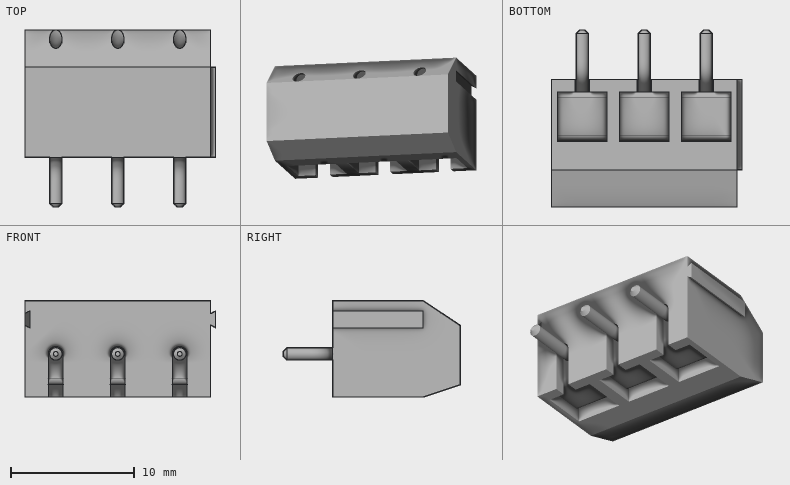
import cadquery as cq


housing_width = 15.0
housing_depth = 10.3
housing_height = 7.8
slope_run = 3.0
upper_slope_drop = 2.0
lower_slope_rise = 1.0
slope_start = housing_depth - slope_run

pole_count = 3
pole_pitch = housing_width / pole_count
pole_centers = [(i + 0.5) * pole_pitch for i in range(pole_count)]

overall_width = 15.4
dovetail_depth = overall_width - housing_width
dovetail_neck = 0.92
dovetail_flare = 0.23
dovetail_z = 6.28

pin_diameter = 1.0
pin_z = 3.5
pin_projection = 4.0
pin_tip_chamfer = 0.31

slot_width = 1.2
slot_depth = 1.0
chamber_width = 4.0
chamber_depth = 4.0
chamber_height = 6.0

clamp_bottom = 1.05
clamp_edge_radius = 0.46

test_hole_diameter = 1.0
test_hole_depth = 2.0
test_hole_z = housing_height - upper_slope_drop + test_hole_diameter / 2


def box(width, depth, height, x_center, y_front, z_bottom):
    """Box centred on x_center, reaching back from y_front and up from z_bottom."""
    return (
        cq.Workplane("XY")
        .box(width, depth, height, centered=(True, False, False))
        .translate((x_center, y_front, z_bottom))
    )


def cylinder_along_y(diameter, x, y_front, z, length):
    """Cylinder that reaches back from y_front."""
    return cq.Workplane("XZ", origin=(x, y_front, z)).circle(diameter / 2).extrude(-length)


def make_dovetail(x_neck):
    """Dovetail bar that widens towards +X, starting at its neck."""
    neck_half = dovetail_neck / 2
    wide_half = neck_half + dovetail_flare
    x_wide = x_neck + dovetail_depth
    outline = [
        (x_neck, dovetail_z - neck_half),
        (x_wide, dovetail_z - wide_half),
        (x_wide, dovetail_z + wide_half),
        (x_neck, dovetail_z + neck_half),
    ]
    return cq.Workplane("XZ").polyline(outline).close().extrude(-slope_start)


def make_slot_cutter(x):
    """Round-topped slot around the pin, open at the front and at the bottom."""
    straight = box(slot_width, slot_depth, pin_z, x, 0, 0)
    return straight.union(cylinder_along_y(slot_width, x, 0, pin_z, slot_depth))


def make_test_hole_cutter(x):
    """Blind hole parallel to Y that opens in the upper slope."""
    y_front = housing_depth - test_hole_depth
    return cylinder_along_y(test_hole_diameter, x, y_front, test_hole_z, test_hole_depth)


def make_housing():
    side_profile = [
        (0, 0),
        (slope_start, 0),
        (housing_depth, lower_slope_rise),
        (housing_depth, housing_height - upper_slope_drop),
        (slope_start, housing_height),
        (0, housing_height),
    ]
    housing = cq.Workplane("YZ").polyline(side_profile).close().extrude(housing_width)
    housing = housing.cut(make_dovetail(0)).union(make_dovetail(housing_width))
    for x in pole_centers:
        housing = housing.cut(make_slot_cutter(x))
        housing = housing.cut(box(chamber_width, chamber_depth, chamber_height, x, slot_depth, 0))
        housing = housing.cut(make_test_hole_cutter(x))
    return housing


def make_pin(x):
    """Round pin that stands on the clamp's front face and has a chamfered tip."""
    pin = cylinder_along_y(pin_diameter, x, -pin_projection, pin_z, pin_projection + slot_depth)
    return pin.faces("<Y").chamfer(pin_tip_chamfer)


def make_clamp(x):
    """Block that fills the upper part of a chamber, with rounded lower edges along X."""
    clamp = box(chamber_width, chamber_depth, chamber_height - clamp_bottom, x, slot_depth, clamp_bottom)
    return clamp.faces("<Z").edges("|X").fillet(clamp_edge_radius)


housing = make_housing()
pins = [make_pin(x) for x in pole_centers]
clamps = [make_clamp(x) for x in pole_centers]

result = cq.Compound.makeCompound(
    [housing.val(), *[pin.val() for pin in pins], *[clamp.val() for clamp in clamps]]
)